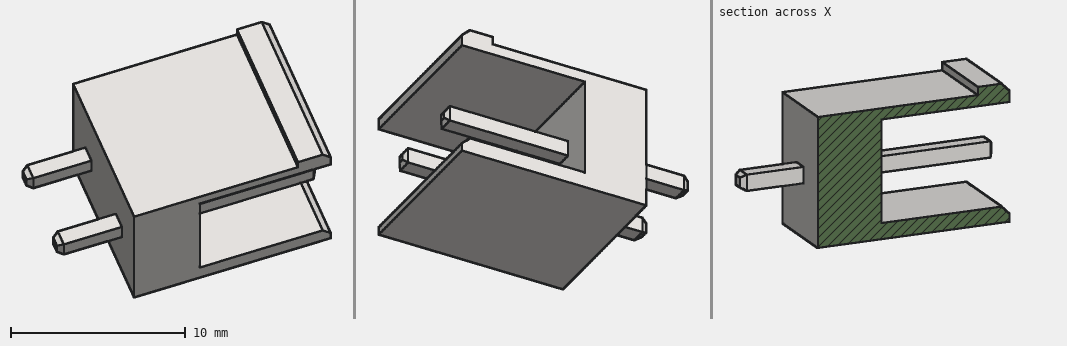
import cadquery as cq

width = 10.0
housing_length = 12.0
cavity_depth = 8.0
bottom_wall = 1.0
top_wall = 0.7
lip_height = 0.5
lip_length = 2.0
edge_chamfer = 0.5
total_height = 8.4

pin_count = 2
pin_pitch = 5.0
pin_size = 0.99
pin_center_z = 3.8
pin_length = 15.8
front_overhang = 3.9
front_taper_length = 0.35
front_taper_inset = 0.19
rear_taper_length = 0.2
rear_taper_inset = 0.3

front_y = front_overhang
back_y = front_y + housing_length
cavity_floor_y = back_y - cavity_depth
roof_z = total_height - lip_height


def make_housing():
    """U-shaped side profile with a locking lip, extruded across the width."""
    profile = [
        (front_y, 0),
        (back_y, 0),
        (back_y, bottom_wall - edge_chamfer),
        (back_y - edge_chamfer, bottom_wall),
        (cavity_floor_y, bottom_wall),
        (cavity_floor_y, roof_z - top_wall),
        (back_y, roof_z - top_wall),
        (back_y, total_height - edge_chamfer),
        (back_y - edge_chamfer, total_height),
        (back_y - lip_length, total_height),
        (back_y - lip_length, roof_z),
        (front_y, roof_z),
    ]
    return cq.Workplane("YZ").polyline(profile).close().extrude(width / 2, both=True)


def make_pin(x):
    """Square pin along Y, starting at Y = 0, with both ends tapered."""
    front_tip = pin_size - 2 * front_taper_inset
    rear_tip = pin_size - 2 * rear_taper_inset
    shank_length = pin_length - front_taper_length - rear_taper_length
    plane = cq.Workplane("XZ", origin=(x, 0, pin_center_z))
    front_taper = (
        plane.rect(front_tip, front_tip)
        .workplane(offset=-front_taper_length)
        .rect(pin_size, pin_size)
        .loft(ruled=True)
    )
    shank = (
        plane.workplane(offset=-front_taper_length)
        .rect(pin_size, pin_size)
        .extrude(-shank_length)
    )
    rear_taper = (
        plane.workplane(offset=-front_taper_length - shank_length)
        .rect(pin_size, pin_size)
        .workplane(offset=-rear_taper_length)
        .rect(rear_tip, rear_tip)
        .loft(ruled=True)
    )
    return shank.union(front_taper).union(rear_taper)


result = make_housing()
for index in range(pin_count):
    pin_x = (index - (pin_count - 1) / 2) * pin_pitch
    result = result.union(make_pin(pin_x))